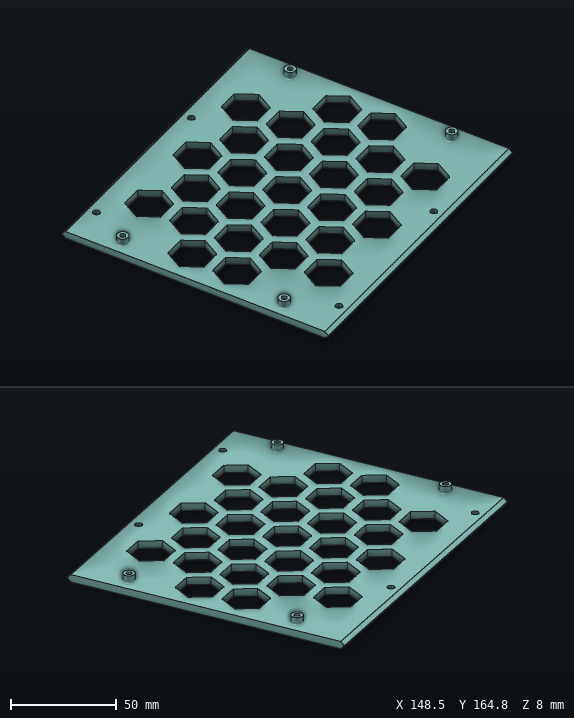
import cadquery as cq
import math

plate_width = 148.5
plate_length = 164.8
total_height = 8.0
plate_thickness = total_height / 2
bevel_width = 2.0
side_flat_height = 0.5

openings_per_row = [2, 5, 4, 5, 4, 5, 2]
widest_row_span = 100.0
hexagon_pitch = widest_row_span / (max(openings_per_row) - 1)
hexagon_flats = 20.0
hexagon_diameter = hexagon_flats / math.cos(math.radians(30))
row_pitch = hexagon_pitch * math.sin(math.radians(60))

standoff_diameter = 6.0
standoff_bore = 2.8
standoff_x = 45.0
standoff_y = 75.0
foot_fillet = 1.0

mount_hole_diameter = 3.6
mount_hole_x = 67.6
mount_hole_rear_y = 22.7
mount_hole_spacing = 85.0


def make_plate():
    """Plate profile in XZ, bevelled at both sides, extruded along Y about the origin."""
    side_x = plate_width / 2
    face_x = side_x - bevel_width
    flat_bottom = (plate_thickness - side_flat_height) / 2
    flat_top = flat_bottom + side_flat_height
    profile = [
        (-face_x, 0),
        (face_x, 0),
        (side_x, flat_bottom),
        (side_x, flat_top),
        (face_x, plate_thickness),
        (-face_x, plate_thickness),
        (-side_x, flat_top),
        (-side_x, flat_bottom),
    ]
    return cq.Workplane("XZ").polyline(profile).close().extrude(plate_length / 2, both=True)


def honeycomb_centres():
    """Centres of the openings; every row is centred on X = 0."""
    middle_row = (len(openings_per_row) - 1) / 2
    centres = []
    for row, count in enumerate(openings_per_row):
        for column in range(count):
            x = (column - (count - 1) / 2) * hexagon_pitch
            centres.append((x, (row - middle_row) * row_pitch))
    return centres


def make_openings():
    hexagon = cq.Sketch().regularPolygon(hexagon_diameter / 2, 6)
    return cq.Workplane("XY").pushPoints(honeycomb_centres()).placeSketch(hexagon).extrude(plate_thickness)


def make_cylinders(centres, diameter, height):
    """Equal cylinders standing on Z = 0."""
    return cq.Workplane("XY").pushPoints(centres).circle(diameter / 2).extrude(height)


standoff_centres = [(x, y) for x in (-standoff_x, standoff_x) for y in (-standoff_y, standoff_y)]
mount_hole_front_y = mount_hole_rear_y - mount_hole_spacing
mount_hole_centres = [
    (x, y) for x in (-mount_hole_x, mount_hole_x) for y in (mount_hole_front_y, mount_hole_rear_y)
]

solid_panel = (
    make_plate()
    .union(make_cylinders(standoff_centres, standoff_diameter, total_height))
    .faces(cq.NearestToPointSelector((0, 0, plate_thickness)))
    .edges("%CIRCLE")
    .fillet(foot_fillet)
)

result = (
    solid_panel
    .cut(make_openings())
    .cut(make_cylinders(mount_hole_centres, mount_hole_diameter, plate_thickness))
    .cut(make_cylinders(standoff_centres, standoff_bore, total_height))
)